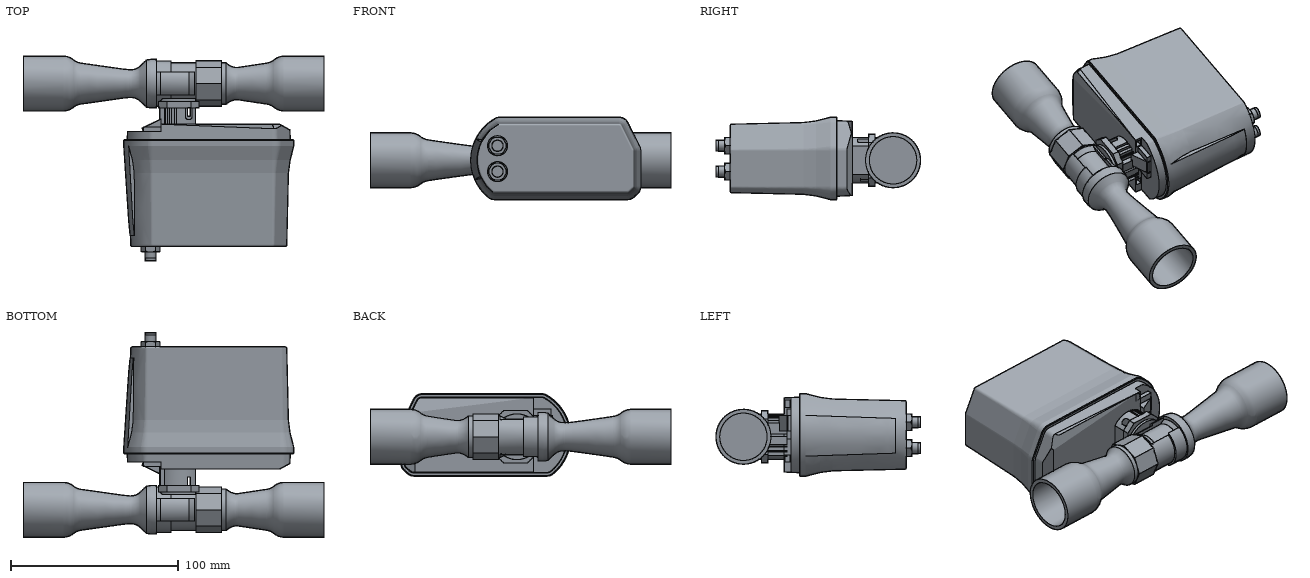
import cadquery as cq
import math

OVERLAP = 0.5
CUT_MARGIN = 10.0

TUBE_LENGTH = 180.0
END_RADIUS = 16.5
BORE_RADIUS = 14.2
BORE_DEPTH = 24.5
THROAT_RADIUS = 8.4
COLLAR_RADIUS = 14.6
HALF_LENGTH = TUBE_LENGTH / 2
SOCKET_INNER_X = 65.8
SHOULDER_X = 60.2
SHOULDER_RADIUS = 14.4
CONE_X = 55.5
CONE_RADIUS = 12.3
SOCKET_CURVE_X = 62.8
SOCKET_CURVE_RADIUS = 15.9
HOLLOW_X = 58.0
HOLLOW_RADIUS = 13.0
LONG_CONE_END_X = -30.7
LONG_CONE_END_RADIUS = 8.8
THROAT_START_X = -26.7
THROAT_END_X = -25.4
FLARE_MIDDLE_X = -22.7
FLARE_MIDDLE_RADIUS = 8.9
FLARE_END_X = -20.4
FLARE_END_RADIUS = 10.3
COLLAR_START_X = -16.3
COLLAR_START_RADIUS = 14.2
COLLAR_CREST_X = -13.7
COLLAR_END_X = -10.4
BARREL_END_X = 31.4
OUTLET_CURVE_X = 34.2
OUTLET_CURVE_RADIUS = 10.5
OUTLET_THROAT_START_X = 37.3
OUTLET_THROAT_END_X = 38.2
OUTLET_THROAT_RADIUS = 9.7

BARREL_RADIUS = 12.5
BARREL_STEP_RADIUS = 13.7
BARREL_STEP_X = -1.5
NUT_RADIUS = 13.7
NUT_START_X = 13.3
NUT_END_X = 28.7
NUT_SIDES = 8
WAIST_HALF_WIDTH = 6.8
WAIST_START_X = -7.8
WAIST_END_X = 9.0
WAIST_RAMP_LENGTH = 3.4
WAIST_DEPTH = 1.7

NECK_X = 2.3
NECK_HALF_WIDTH = 10.8
NECK_RADIUS = 13.7
NECK_START_Y = -9.0
NECK_END_Y = -26.0
FLANGE_MIN_X = -9.0
FLANGE_MAX_X = 15.2
FLANGE_HALF_HEIGHT = 15.7
FLANGE_START_Y = -10.7
FLANGE_END_Y = -14.6
FLANGE_CHAMFER = 5.0
WINDOW_X = 9.0
WINDOW_WIDTH = 3.8
WINDOW_CORNER_RADIUS = 1.3
WINDOW_END_Y = -21.4
WINDOW_DEPTH = 6.0
WINDOW_CORE_WIDTH = 1.5
GROOVE_WIDTH = 1.2
GROOVE_DEPTH = 4.0
GROOVE_XS = (-4.4, -1.8, 1.0)
SIDE_GROOVE_DEPTH = 3.0
SIDE_GROOVES = ((10.2, 4.2), (1.0, 1.6), (-5.0, 0.8), (-7.2, 2.2), (-11.0, 3.6))

ARC_X = -1.2
ARC_RADIUS = 28.8
RIM_TOP_Z = 25.84
RIM_HEIGHT = 49.49
RIM_BOTTOM_Z = RIM_TOP_Z - RIM_HEIGHT
RIM_RIGHT_X = 71.9
TOP_BEVEL_X = 62.6
TOP_BEVEL_Z = 7.0
BOTTOM_BEVEL_X = 66.2
BOTTOM_BEVEL_Z = -18.4
CORNER_RADIUS = 6.0

RIM_START_Y = -33.5
RIM_END_Y = -37.4
COVE_MIDDLE_Y = -46.0
COVE_END_Y = -53.6
HOUSING_END_Y = -97.6
COVE_MIDDLE_INSET = 2.2
COVE_END_INSET = 3.2
HOUSING_END_INSET = 4.2
RIM_CHAMFER = 0.5
END_FILLET = 1.1

LID_Y = -28.6
LID_START_Y = RIM_START_Y - OVERLAP
LID_INSET = 2.0
RAISED_LID_Y = -24.3
RAISED_LID_INSET = 2.5
RAISED_LID_X = -7.7
RIGHT_SLOPE_X = 63.4
RIGHT_SLOPE_DROP = 3.3
TOP_SLOPE_DROP = 3.2
TOP_SLOPE_WIDTH = 10.0
NOTCH_ZS = (19.7, -13.0)
NOTCH_HEIGHT = 4.4
NOTCH_DEPTH = 3.0
NOTCH_MARGIN = 0.7

LATCH_MIN_X = -19.1
LATCH_SETBACK = 1.0
LATCH_PLATE_BOTTOM_Z = -1.4
LATCH_PLATE_TOP_Z = 16.7
LATCH_PLATE_Y = -26.0
LATCH_WEDGE_BOTTOM_Z = 3.5
LATCH_WEDGE_TOP_Z = 12.8
LATCH_WEDGE_Y = -21.2
LATCH_TIP_Y = -26.7

PAD_END_Y = -91.0
PAD_BEND_Y = -81.8
PAD_BEND_INSET = 2.9
PAD_END_INSET = 3.8
PAD_CENTER_Z = 0.6
PAD_START_HALF_HEIGHT = 12.2
PAD_END_HALF_HEIGHT = 10.4
PAD_DEPTH = 12.0

CONNECTOR_X = -13.9
CONNECTOR_ZS = (8.7, -6.8)
CONNECTOR_END_Y = -106.1
RECESS_RADIUS = 6.0
RECESS_DEPTH = 0.8
HEX_RADIUS = 5.8
HEX_SIDES = 6
HEX_END_Y = -100.8
HEX_CHAMFER = 0.6
PIN_RADIUS = 3.4
PIN_TIP_LENGTH = 1.6
PIN_TIP_RADIUS = 3.3


def block(x_min, x_max, y_min, y_max, z_min, z_max):
    """Box given by its limits along each axis."""
    size = (x_max - x_min, y_max - y_min, z_max - z_min)
    return cq.Workplane("XY").box(*size, centered=False).translate((x_min, y_min, z_min))


def y_plane(y):
    """Plane facing -Y, with local x along X and local y along Z."""
    return cq.Workplane(cq.Plane(origin=(0, y, 0), xDir=(1, 0, 0), normal=(0, -1, 0)))


def x_cylinder(radius, x_min, x_max):
    return cq.Workplane("YZ").workplane(offset=x_min).circle(radius).extrude(x_max - x_min)


def make_tube():
    outlet_throat_start = (OUTLET_THROAT_START_X, OUTLET_THROAT_RADIUS)
    profile = (
        cq.Workplane("XY")
        .moveTo(-HALF_LENGTH, 0)
        .lineTo(-HALF_LENGTH, END_RADIUS)
        .lineTo(-SOCKET_INNER_X, END_RADIUS)
        .threePointArc((-SOCKET_CURVE_X, SOCKET_CURVE_RADIUS), (-SHOULDER_X, SHOULDER_RADIUS))
        .threePointArc((-HOLLOW_X, HOLLOW_RADIUS), (-CONE_X, CONE_RADIUS))
        .lineTo(LONG_CONE_END_X, LONG_CONE_END_RADIUS)
        .lineTo(THROAT_START_X, THROAT_RADIUS)
        .lineTo(THROAT_END_X, THROAT_RADIUS)
        .threePointArc((FLARE_MIDDLE_X, FLARE_MIDDLE_RADIUS), (FLARE_END_X, FLARE_END_RADIUS))
        .lineTo(COLLAR_START_X, COLLAR_START_RADIUS)
        .lineTo(COLLAR_CREST_X, COLLAR_RADIUS)
        .lineTo(COLLAR_END_X, COLLAR_RADIUS)
        .lineTo(COLLAR_END_X, BARREL_RADIUS)
        .lineTo(BARREL_END_X, BARREL_RADIUS)
        .threePointArc((OUTLET_CURVE_X, OUTLET_CURVE_RADIUS), outlet_throat_start)
        .lineTo(OUTLET_THROAT_END_X, OUTLET_THROAT_RADIUS)
        .lineTo(CONE_X, CONE_RADIUS)
        .threePointArc((HOLLOW_X, HOLLOW_RADIUS), (SHOULDER_X, SHOULDER_RADIUS))
        .threePointArc((SOCKET_CURVE_X, SOCKET_CURVE_RADIUS), (SOCKET_INNER_X, END_RADIUS))
        .lineTo(HALF_LENGTH, END_RADIUS)
        .lineTo(HALF_LENGTH, 0)
        .close()
    )
    tube = profile.revolve(360, (0, 0, 0), (1, 0, 0))
    tube = tube.union(x_cylinder(BARREL_STEP_RADIUS, COLLAR_END_X, BARREL_STEP_X))
    tube = tube.cut(make_waist_cutter())
    nut = (
        cq.Workplane("YZ")
        .workplane(offset=NUT_START_X)
        .polygon(NUT_SIDES, 2 * NUT_RADIUS)
        .extrude(NUT_END_X - NUT_START_X)
    )
    tube = tube.union(nut)
    for x_min in (-HALF_LENGTH, HALF_LENGTH - BORE_DEPTH):
        tube = tube.cut(x_cylinder(BORE_RADIUS, x_min, x_min + BORE_DEPTH))
    return tube


def make_waist_cutter():
    """Ring with sloped ends, kept only over the +Z and -Z strips of the barrel."""
    floor_radius = BARREL_RADIUS - WAIST_DEPTH
    ring = (
        cq.Workplane("XY")
        .moveTo(WAIST_START_X, floor_radius)
        .lineTo(WAIST_END_X, floor_radius)
        .lineTo(WAIST_END_X + WAIST_RAMP_LENGTH, BARREL_RADIUS)
        .lineTo(WAIST_END_X + WAIST_RAMP_LENGTH, BARREL_STEP_RADIUS)
        .lineTo(COLLAR_END_X, BARREL_STEP_RADIUS)
        .lineTo(COLLAR_END_X, BARREL_RADIUS)
        .close()
        .revolve(360, (0, 0, 0), (1, 0, 0))
    )
    strip = block(-HALF_LENGTH, HALF_LENGTH, -WAIST_HALF_WIDTH, WAIST_HALF_WIDTH, -END_RADIUS, END_RADIUS)
    return ring.intersect(strip)


def make_neck():
    neck_min_x = NECK_X - NECK_HALF_WIDTH
    neck_max_x = NECK_X + NECK_HALF_WIDTH
    neck = y_plane(NECK_START_Y).center(NECK_X, 0).circle(NECK_RADIUS).extrude(NECK_START_Y - NECK_END_Y)
    neck = neck.intersect(
        block(neck_min_x, neck_max_x, NECK_END_Y, NECK_START_Y, -NECK_RADIUS, NECK_RADIUS)
    )

    window_start = FLANGE_END_Y
    window_min_x = WINDOW_X - WINDOW_WIDTH / 2
    window_max_x = WINDOW_X + WINDOW_WIDTH / 2
    window_floor_z = NECK_RADIUS - WINDOW_DEPTH
    window = block(window_min_x, window_max_x, WINDOW_END_Y, window_start, window_floor_z, NECK_RADIUS)
    window = window.faces("<Y").edges("|Z").fillet(WINDOW_CORNER_RADIUS)
    core_min_x = WINDOW_X - WINDOW_CORE_WIDTH / 2
    core_max_x = WINDOW_X + WINDOW_CORE_WIDTH / 2
    core_end_y = WINDOW_END_Y + WINDOW_WIDTH / 2
    core = block(core_min_x, core_max_x, core_end_y, window_start, -NECK_RADIUS, NECK_RADIUS)
    neck = neck.cut(window).cut(core)

    for x in GROOVE_XS:
        half = GROOVE_WIDTH / 2
        groove_floor_z = NECK_RADIUS - GROOVE_DEPTH
        neck = neck.cut(block(x - half, x + half, NECK_END_Y, FLANGE_END_Y, groove_floor_z, NECK_RADIUS))
    for z, height in SIDE_GROOVES:
        groove_max_x = neck_min_x + SIDE_GROOVE_DEPTH
        z_min = z - height / 2
        neck = neck.cut(block(neck_min_x, groove_max_x, NECK_END_Y, FLANGE_END_Y, z_min, z_min + height))

    flange = block(
        FLANGE_MIN_X, FLANGE_MAX_X, FLANGE_END_Y, FLANGE_START_Y, -FLANGE_HALF_HEIGHT, FLANGE_HALF_HEIGHT
    )
    return neck.union(flange.edges("|Y").chamfer(FLANGE_CHAMFER))


def inset_arc_point(z, inset):
    """Point at height z on the rounded side of the outline shrunk by inset."""
    return (ARC_X - math.sqrt((ARC_RADIUS - inset) ** 2 - z**2), z)


def inset_corner(corner, direction_in, direction_out, inset):
    """Corner of two outline edges moved inward by inset; the outline runs clockwise."""
    normal_in = direction_in.normalized().cross(cq.Vector(0, 0, 1))
    normal_out = direction_out.normalized().cross(cq.Vector(0, 0, 1))
    shift = (normal_in + normal_out) * (inset / (1 + normal_in.dot(normal_out)))
    moved = cq.Vector(*corner) + shift
    return (moved.x, moved.y)


def outline_wire(y, inset):
    """Rim outline shrunk by inset, with concentric rounded corners, in the plane at y."""
    right = cq.Vector(1, 0)
    down = cq.Vector(0, -1)
    left = cq.Vector(-1, 0)
    top_bevel = cq.Vector(RIM_RIGHT_X - TOP_BEVEL_X, TOP_BEVEL_Z - RIM_TOP_Z)
    bottom_bevel = cq.Vector(BOTTOM_BEVEL_X - RIM_RIGHT_X, RIM_BOTTOM_Z - BOTTOM_BEVEL_Z)
    top_left = inset_arc_point(RIM_TOP_Z - inset, inset)
    bottom_left = inset_arc_point(RIM_BOTTOM_Z + inset, inset)
    wire = (
        cq.Workplane("XZ", origin=(0, y, 0))
        .moveTo(*top_left)
        .lineTo(*inset_corner((TOP_BEVEL_X, RIM_TOP_Z), right, top_bevel, inset))
        .lineTo(*inset_corner((RIM_RIGHT_X, TOP_BEVEL_Z), top_bevel, down, inset))
        .lineTo(*inset_corner((RIM_RIGHT_X, BOTTOM_BEVEL_Z), down, bottom_bevel, inset))
        .lineTo(*inset_corner((BOTTOM_BEVEL_X, RIM_BOTTOM_Z), bottom_bevel, left, inset))
        .lineTo(*bottom_left)
        .threePointArc(inset_arc_point(0, inset), top_left)
        .close()
    )
    outline = wire.val()
    return outline.fillet2D(CORNER_RADIUS - inset, outline.Vertices())


def make_shell():
    rim_face = cq.Face.makeFromWires(outline_wire(RIM_START_Y, 0))
    rim_depth = cq.Vector(0, RIM_END_Y - RIM_START_Y, 0)
    rim = cq.Workplane(cq.Solid.extrudeLinear(rim_face, rim_depth))
    rim = rim.faces(">Y").edges().chamfer(RIM_CHAMFER)
    stations = (
        (RIM_END_Y, 0),
        (COVE_MIDDLE_Y, COVE_MIDDLE_INSET),
        (COVE_END_Y, COVE_END_INSET),
        (HOUSING_END_Y, HOUSING_END_INSET),
    )
    wires = [outline_wire(y, inset) for y, inset in stations]
    shell = cq.Workplane(cq.Solid.makeLoft(wires, True))
    shell = shell.faces("<Y").edges().fillet(END_FILLET)
    return rim.union(shell)


def make_lid():
    wires = [outline_wire(LID_START_Y, LID_INSET), outline_wire(RAISED_LID_Y, RAISED_LID_INSET)]
    lid = cq.Workplane(cq.Solid.makeLoft(wires, True))
    left_x = ARC_X - ARC_RADIUS
    right_limit = RIM_RIGHT_X + CUT_MARGIN
    lid = lid.cut(block(left_x, RAISED_LID_X, LID_Y, RAISED_LID_Y, -ARC_RADIUS, ARC_RADIUS))
    right_slope = (
        cq.Workplane("XY")
        .workplane(offset=-ARC_RADIUS)
        .moveTo(RIGHT_SLOPE_X, RAISED_LID_Y)
        .lineTo(RIM_RIGHT_X - RAISED_LID_INSET, RAISED_LID_Y - RIGHT_SLOPE_DROP)
        .lineTo(right_limit, RAISED_LID_Y)
        .close()
        .extrude(2 * ARC_RADIUS)
    )
    lid = lid.cut(right_slope).cut(make_top_slope())
    notch_max_x = RAISED_LID_X + NOTCH_DEPTH
    notch_end_y = LID_Y + NOTCH_MARGIN
    notch_start_y = RAISED_LID_Y - NOTCH_MARGIN
    for z in NOTCH_ZS:
        z_min = z - NOTCH_HEIGHT / 2
        z_max = z_min + NOTCH_HEIGHT
        lid = lid.cut(block(RAISED_LID_X, notch_max_x, notch_end_y, notch_start_y, z_min, z_max))
    return lid


def make_top_slope():
    """Pointed wedge that lowers the top edge of the raised lid more and more toward +X."""
    top_z = RIM_TOP_Z - RAISED_LID_INSET
    tip = cq.Vector(RAISED_LID_X, RAISED_LID_Y, top_z)
    low = cq.Vector(RIM_RIGHT_X, RAISED_LID_Y - TOP_SLOPE_DROP, top_z)
    corner = cq.Vector(RIM_RIGHT_X, RAISED_LID_Y, top_z)
    inner = cq.Vector(RIM_RIGHT_X, RAISED_LID_Y, top_z - TOP_SLOPE_WIDTH)
    triangles = ((tip, low, corner), (tip, corner, inner), (tip, inner, low), (low, inner, corner))
    faces = [cq.Face.makeFromWires(cq.Wire.makePolygon(list(t), close=True)) for t in triangles]
    return cq.Workplane(cq.Solid.makeSolid(cq.Shell.makeShell(faces)))


def make_latch():
    plate = block(
        LATCH_MIN_X + LATCH_SETBACK,
        RAISED_LID_X + OVERLAP,
        LID_Y - OVERLAP,
        LATCH_PLATE_Y,
        LATCH_PLATE_BOTTOM_Z,
        LATCH_PLATE_TOP_Z,
    )
    wedge = (
        cq.Workplane("XY")
        .workplane(offset=LATCH_WEDGE_BOTTOM_Z)
        .moveTo(LATCH_MIN_X, LATCH_TIP_Y)
        .lineTo(RAISED_LID_X, LATCH_WEDGE_Y)
        .lineTo(RAISED_LID_X, LID_Y)
        .lineTo(LATCH_MIN_X + LATCH_SETBACK, LID_Y)
        .close()
        .extrude(LATCH_WEDGE_TOP_Z - LATCH_WEDGE_BOTTOM_Z)
    )
    return plate.union(wedge)


def make_pad():
    """Drafted pad that bridges the cove on the rounded side."""
    stations = ((RIM_END_Y, 0), (PAD_BEND_Y, PAD_BEND_INSET), (PAD_END_Y, PAD_END_INSET))
    wires = [outline_wire(y, inset) for y, inset in stations]
    drafted = cq.Workplane(cq.Solid.makeLoft(wires, True))
    left_x = ARC_X - ARC_RADIUS
    window = (
        cq.Workplane("YZ")
        .workplane(offset=left_x)
        .center(0, PAD_CENTER_Z)
        .moveTo(RIM_END_Y, PAD_START_HALF_HEIGHT)
        .lineTo(PAD_END_Y, PAD_END_HALF_HEIGHT)
        .lineTo(PAD_END_Y, -PAD_END_HALF_HEIGHT)
        .lineTo(RIM_END_Y, -PAD_START_HALF_HEIGHT)
        .close()
        .extrude(PAD_DEPTH)
    )
    return drafted.intersect(window)


def y_cylinder(radius, z, y_start, y_end):
    return y_plane(y_start).center(CONNECTOR_X, z).circle(radius).extrude(y_start - y_end)


def make_connector(z):
    floor_y = HOUSING_END_Y + RECESS_DEPTH
    start_y = floor_y + OVERLAP
    hexagon = y_plane(start_y).center(CONNECTOR_X, z).polygon(HEX_SIDES, 2 * HEX_RADIUS)
    nut = hexagon.extrude(start_y - HEX_END_Y)
    rounding = y_cylinder(HEX_RADIUS, z, start_y, HEX_END_Y).faces("<Y").edges().chamfer(HEX_CHAMFER)
    pin = y_cylinder(PIN_RADIUS, z, start_y, CONNECTOR_END_Y + PIN_TIP_LENGTH)
    pin_tip = y_cylinder(PIN_TIP_RADIUS, z, start_y, CONNECTOR_END_Y)
    return nut.intersect(rounding).union(pin).union(pin_tip)


def add_connectors(body):
    for z in CONNECTOR_ZS:
        body = body.cut(y_cylinder(RECESS_RADIUS, z, HOUSING_END_Y + RECESS_DEPTH, HOUSING_END_Y - OVERLAP))
        body = body.union(make_connector(z))
    return body


housing = make_shell().union(make_pad()).union(make_lid()).union(make_latch())
housing = add_connectors(housing)
result = make_tube().union(make_neck()).union(housing)